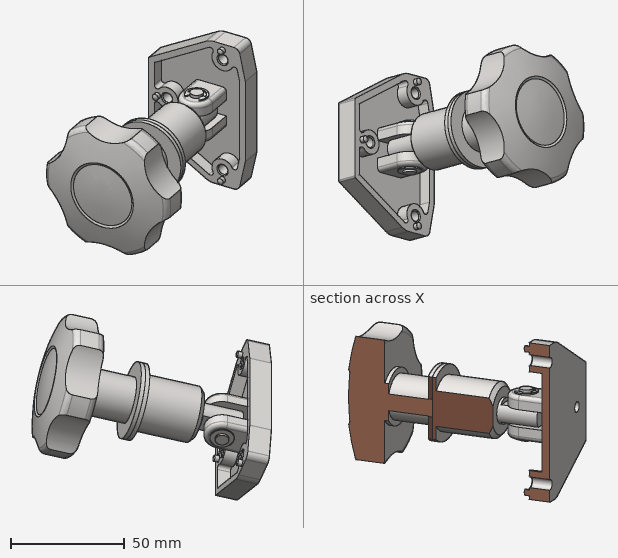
import cadquery as cq
import math


plate_thickness = 10.0
plate_left = 28.2
plate_right = 21.3
plate_height = 72.0
left_edge_half_height = 17.9
right_edge_half_height = 20.4
left_slope = 30
right_slope = 12
left_corner_round = 1.0
top_left_round = 8.0
top_right_round = 3.0
wall = 3.0
pocket_depth = 6.0

boss_radius = 5.5
boss_root_round = 1.5
hole_radius = 2.4
hole_chamfer = 0.5
side_hole_x = -18.6
corner_hole_x = 9.7
corner_hole_z = 28.0
peg_offset = 4.9
peg_radius = 1.5
peg_length = 2.1
peg_dome_height = 0.5

pin_y = -16.0
pin_radius = 3.0
pin_half_length = 11.8
clevis_radius = 8.0
clevis_half_height = 10.2
clevis_round = 2.0
ring_radius = 5.4
ring_thickness = 0.6
clip_window_radius = 4.4
clip_tab_half_width = 1.2
clip_mouth_inner_half_width = 2.4
clip_mouth_outer_half_width = 3.6
clip_mouth_inner_y = 2.1
clip_mouth_outer_y = 4.1

spindle_radius = 6.0
tongue_half_height = 4.0
tongue_back_y = -8.0
tongue_front_y = -26.1

barrel_back_y = -27.4
barrel_radius = 12.7
barrel_chamfer = 2.0
flange_back_y = -54.9
flange_radius = 17.3
flange_thickness = 2.0
washer_thickness = 2.0

overall_length = 98.0
neck_radius = 10.5
collar_back_y = -77.8
collar_radius = 13.0
knob_back_y = -79.8
knob_radius = 31.5
knob_round = 3.0
dome_radius = 98.0
cap_sink = 0.7
recess_radius = 16.0
cap_radius = 14.9
lobe_count = 6
scallop_radius = 21.6
scallop_floor = 26.1

flange_front_y = flange_back_y - flange_thickness
washer_front_y = flange_front_y - washer_thickness
pocket_floor_y = pocket_depth - plate_thickness


def direction(angle):
    """Unit vector at an angle in degrees from +X towards +Z, as plate-plane coordinates."""
    return cq.Vector(math.cos(math.radians(angle)), math.sin(math.radians(angle)))


def cylinder_y(radius, back_y, front_y, x=0.0, z=0.0):
    """A cylinder along Y between two Y positions."""
    return cq.Workplane("XZ", origin=(x, back_y, z)).circle(radius).extrude(back_y - front_y)


def cylinder_pin(radius, bottom_z, top_z):
    """A cylinder on the clevis pin's axis."""
    return cq.Workplane("XY", origin=(0, pin_y, bottom_z)).circle(radius).extrude(top_z - bottom_z)


def axis_plane():
    """Sketch plane through the turning axis, with points given as (radius, y)."""
    return cq.Workplane("ZY")


def turned(outline):
    """Close a (radius, y) outline and revolve it about the Y axis."""
    return outline.close().revolve(360, (0, 0), (0, 1))


def plate_corners(inset):
    """Corners of the plate's upper half, with every edge moved inwards by inset.

    Gives the left edge's end, both ends of the top edge and the right edge's end as (x, z).
    """
    slope = math.radians(left_slope)
    lean = math.radians(right_slope)
    left = -plate_left + inset
    right = plate_right - inset
    top = plate_height / 2 - inset
    left_z = left_edge_half_height - inset * math.tan(math.pi / 4 - slope / 2)
    right_z = right_edge_half_height - inset * math.tan(lean / 2)
    top_left = left + (top - left_z) / math.tan(slope)
    top_right = right - (top - right_z) * math.tan(lean)
    return (left, left_z), (top_left, top), (top_right, top), (right, right_z)


def root_round(hole, wall_point, wall_angle, inward_angle):
    """The arc joining a boss to a pocket wall: its point on the wall, middle and point on the boss.

    wall_angle points along the wall away from the boss; inward_angle points from the wall into the pocket.
    """
    along = direction(wall_angle)
    inward = direction(inward_angle)
    hole_to_wall = (hole - wall_point).dot(inward)
    reach = boss_radius + boss_root_round
    shift = math.sqrt(reach**2 - (hole_to_wall - boss_root_round) ** 2)
    on_wall = hole - inward * hole_to_wall + along * shift
    centre = on_wall + inward * boss_root_round
    on_boss = hole + (centre - hole) * (boss_radius / reach)
    middle = centre + (on_wall + on_boss - centre * 2).normalized() * boss_root_round
    return on_wall.toTuple()[:2], middle.toTuple()[:2], on_boss.toTuple()[:2]


def make_pocket():
    """The front pocket: the plate's outline inset by the wall, running around the three bosses."""
    left_corner, _, _, right_corner = plate_corners(wall)
    side_hole = cq.Vector(side_hole_x, 0)
    corner_hole = cq.Vector(corner_hole_x, corner_hole_z)

    side_wall, side_middle, side_boss = root_round(side_hole, cq.Vector(*left_corner), 90, 0)
    slope_wall, slope_middle, slope_boss = root_round(
        corner_hole, cq.Vector(*left_corner), 180 + left_slope, left_slope - 90
    )
    lean_wall, lean_middle, lean_boss = root_round(
        corner_hole, cq.Vector(*right_corner), right_slope - 90, 180 + right_slope
    )
    side_boss_tip = (side_hole_x + boss_radius, 0)
    half_way = math.radians(45)
    side_boss_middle = (
        side_hole_x + boss_radius * math.cos(half_way),
        boss_radius * math.sin(half_way),
    )
    corner_boss_tip = (corner_hole - corner_hole.normalized() * boss_radius).toTuple()[:2]

    upper_half = (
        cq.Workplane("XZ", origin=(0, pocket_floor_y, 0))
        .moveTo(*side_boss_tip)
        .threePointArc(side_boss_middle, side_boss)
        .threePointArc(side_middle, side_wall)
        .lineTo(*left_corner)
        .lineTo(*slope_wall)
        .threePointArc(slope_middle, slope_boss)
        .threePointArc(corner_boss_tip, lean_boss)
        .threePointArc(lean_middle, lean_wall)
        .lineTo(*right_corner)
        .lineTo(right_corner[0], 0)
        .close()
        .extrude(pocket_depth)
    )
    return upper_half.union(upper_half.mirror("XY"))


def make_plate_blank():
    """The plate's full-thickness outline with rounded corners."""
    left_end, top_start, top_end, right_end = plate_corners(0)
    upper = [left_end, top_start, top_end, right_end]
    lower = [(x, -z) for x, z in reversed(upper)]
    blank = cq.Workplane("XZ").polyline(upper + lower).close().extrude(plate_thickness)
    rounds = (
        (left_end, left_corner_round),
        (top_start, top_left_round),
        (top_end, top_right_round),
    )
    for (x, z), radius in rounds:
        for side in (1, -1):
            corner = cq.selectors.NearestToPointSelector((x, -plate_thickness / 2, side * z))
            blank = blank.edges("|Y").edges(corner).fillet(radius)
    return blank


def make_clevis():
    """Two lugs standing on the pocket floor, with a gap between them for the spindle's tongue."""
    clevis_front_y = pin_y - clevis_radius
    block = (
        cq.Workplane("XY", origin=(0, 0, -clevis_half_height))
        .moveTo(-clevis_radius, pocket_floor_y)
        .lineTo(-clevis_radius, pin_y)
        .threePointArc((0, clevis_front_y), (clevis_radius, pin_y))
        .lineTo(clevis_radius, pocket_floor_y)
        .close()
        .extrude(2 * clevis_half_height)
    )
    for face in (">Z", "<Z"):
        block = block.faces(face).edges("not >Y").fillet(clevis_round)
    gap = (
        cq.Workplane("XY", origin=(0, (pocket_floor_y + clevis_front_y) / 2, 0))
        .box(2 * clevis_radius, pocket_floor_y - clevis_front_y, 2 * tongue_half_height)
    )
    return block.cut(gap)


def make_peg(x, z):
    """A locating peg with a domed tip, rooted in the plate's front face."""
    end_y = -plate_thickness - peg_length
    tip_y = end_y - peg_dome_height
    sphere_radius = (peg_radius**2 + peg_dome_height**2) / (2 * peg_dome_height)
    shaft = cylinder_y(peg_radius, -plate_thickness, tip_y, x, z)
    ball = cq.Workplane("XY", origin=(x, tip_y + sphere_radius, z)).sphere(sphere_radius)
    return shaft.intersect(ball)


def make_plate():
    """The mounting plate with its pocket, clevis, screw holes and locating pegs."""
    plate = make_plate_blank().cut(make_pocket()).union(make_clevis())
    plate = plate.cut(cylinder_pin(pin_radius, -clevis_half_height, clevis_half_height))
    holes = (
        (side_hole_x, 0, side_hole_x - peg_offset, 0),
        (corner_hole_x, corner_hole_z, corner_hole_x, corner_hole_z + peg_offset),
        (corner_hole_x, -corner_hole_z, corner_hole_x, -corner_hole_z - peg_offset),
    )
    for hole_x, hole_z, peg_x, peg_z in holes:
        hole = cylinder_y(hole_radius, 0, -plate_thickness, hole_x, hole_z)
        mouth = cq.Solid.makeCone(
            hole_radius + hole_chamfer,
            hole_radius,
            hole_chamfer,
            cq.Vector(hole_x, -plate_thickness, hole_z),
            cq.Vector(0, 1, 0),
        )
        plate = plate.cut(hole).cut(mouth).union(make_peg(peg_x, peg_z))
    return plate


def make_pin():
    """The clevis pin, with a head under the lower lug."""
    shaft = cylinder_pin(pin_radius, -pin_half_length, pin_half_length)
    head = cylinder_pin(ring_radius, -clevis_half_height - ring_thickness, -clevis_half_height)
    return shaft.union(head)


def make_clip():
    """The retaining clip on the upper lug: a ring with a mouth in front and two windows behind."""
    bottom_z = clevis_half_height
    top_z = bottom_z + ring_thickness
    clip = cylinder_pin(ring_radius, bottom_z, top_z).cut(cylinder_pin(pin_radius, bottom_z, top_z))
    mouth = (
        cq.Workplane("XY", origin=(0, pin_y, bottom_z))
        .polyline([
            (-clip_mouth_inner_half_width, 0),
            (-clip_mouth_inner_half_width, -clip_mouth_inner_y),
            (-clip_mouth_outer_half_width, -clip_mouth_outer_y),
            (-clip_mouth_outer_half_width, -ring_radius),
            (clip_mouth_outer_half_width, -ring_radius),
            (clip_mouth_outer_half_width, -clip_mouth_outer_y),
            (clip_mouth_inner_half_width, -clip_mouth_inner_y),
            (clip_mouth_inner_half_width, 0),
        ])
        .close()
        .extrude(ring_thickness)
    )
    clip = clip.cut(mouth)
    window_width = clip_window_radius - clip_tab_half_width
    for side in (1, -1):
        window_x = side * (clip_tab_half_width + window_width / 2)
        quarter = (
            cq.Workplane("XY", origin=(window_x, pin_y + clip_window_radius / 2, bottom_z))
            .rect(window_width, clip_window_radius)
            .extrude(ring_thickness)
        )
        clip = clip.cut(quarter.intersect(cylinder_pin(clip_window_radius, bottom_z, top_z)))
    return clip


def make_spindle():
    """A round spindle through the barrel, flattened at the back into the clevis tongue."""
    spindle = cylinder_y(spindle_radius, tongue_back_y, flange_front_y)
    flat_depth = spindle_radius - tongue_half_height
    flat_y = (tongue_back_y + tongue_front_y) / 2
    for side in (1, -1):
        flat_z = side * (tongue_half_height + flat_depth / 2)
        flat = (
            cq.Workplane("XY", origin=(0, flat_y, flat_z))
            .box(2 * spindle_radius, tongue_back_y - tongue_front_y, flat_depth)
        )
        spindle = spindle.cut(flat)
    return spindle.cut(cylinder_pin(pin_radius, -tongue_half_height, tongue_half_height))


def make_barrel():
    """The flanged barrel, bored for the spindle."""
    outline = axis_plane().polyline([
        (spindle_radius, barrel_back_y),
        (barrel_radius - barrel_chamfer, barrel_back_y),
        (barrel_radius, barrel_back_y - barrel_chamfer),
        (barrel_radius, flange_back_y),
        (flange_radius, flange_back_y),
        (flange_radius, flange_front_y),
        (spindle_radius, flange_front_y),
    ])
    return turned(outline)


def make_washer():
    """The washer on the front of the barrel's flange, around the knob's neck."""
    washer = cylinder_y(flange_radius, flange_front_y, washer_front_y)
    return washer.cut(cylinder_y(neck_radius, flange_front_y, washer_front_y))


def dome_y(apex_y, radius):
    """Y of the knob's spherical front at a radius from the axis."""
    return apex_y + dome_radius - math.sqrt(dome_radius**2 - radius**2)


def make_knob():
    """The lobed knob with its collar and neck, a domed front and a slightly sunken domed cap."""
    dome_apex_y = -overall_length - cap_sink
    rim_middle = (knob_radius + recess_radius) / 2
    cap_middle = cap_radius / 2
    outline = (
        axis_plane()
        .moveTo(0, knob_back_y)
        .lineTo(knob_radius, knob_back_y)
        .lineTo(knob_radius, dome_y(dome_apex_y, knob_radius))
        .threePointArc(
            (rim_middle, dome_y(dome_apex_y, rim_middle)),
            (recess_radius, dome_y(dome_apex_y, recess_radius)),
        )
        .lineTo(cap_radius, dome_y(-overall_length, cap_radius))
        .threePointArc((cap_middle, dome_y(-overall_length, cap_middle)), (0, -overall_length))
    )
    head = turned(outline)
    rims = head.edges("%CIRCLE").filter(lambda edge: math.isclose(edge.radius(), knob_radius))
    head = rims.fillet(knob_round)

    for lobe in range(lobe_count):
        angle = (lobe + 0.5) * 360 / lobe_count
        centre = direction(angle) * (scallop_floor + scallop_radius)
        head = head.cut(cylinder_y(scallop_radius, knob_back_y, -overall_length, centre.x, centre.y))

    neck = cylinder_y(neck_radius, flange_front_y, knob_back_y)
    collar = cylinder_y(collar_radius, collar_back_y, knob_back_y)
    return head.union(collar).union(neck)


plate = make_plate()
pin = make_pin()
clip = make_clip()
spindle = make_spindle()
barrel = make_barrel()
washer = make_washer()
knob = make_knob()

result = cq.Compound.makeCompound(
    [plate.val(), pin.val(), clip.val(), spindle.val(), barrel.val(), washer.val(), knob.val()]
)